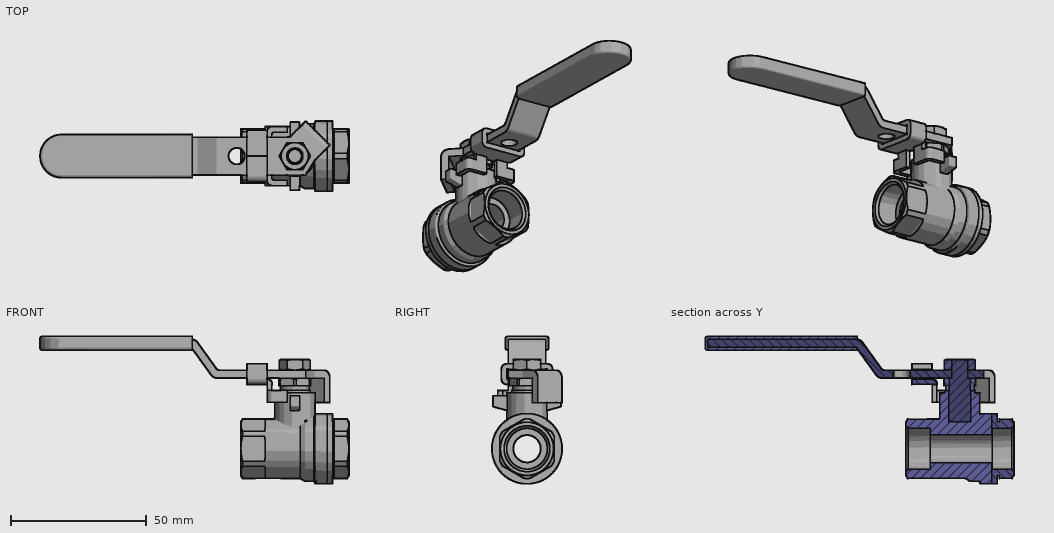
import cadquery as cq
import math


bore_d = 10.0
port_d = 15.0
port_depth = 9.0
port_chamfer = 0.95
hex_across_flats = 20.0
pipe_d = 22.0
end_face_d = 19.6
end_chamfer_length = 0.7
end_left = -20.0
end_right = 20.0

hex_end = -11.0
flat_fillet = 0.4
flat_overrun = 1.0
cone_start = 2.0
cone_end = 3.75
shoulder_d = 24.0
collar_start = 7.4
step_fillet = 0.5
collar_fillet = 0.45
blend_dip = 0.02
shoulder_fillet = 0.3
collar_d = 26.0
joint_x = 11.9
neck_d = 15.0
neck_top = 20.6
neck_fillet = 0.3
boss_d = 11.3
boss_top = 21.5

lug_width = 3.5
lug_reach = 12.6
lug_top = 19.6
lug_tip_bottom = 15.5
lug_root_bottom = 14.1
lug_fillet = 0.4

flange_end = 13.9
flange_fillet = 0.3
cap_port_depth = end_right - joint_x
relief_d = hex_across_flats
relief_end = 14.5

lever_bottom = 26.0
lever_thickness = 3.0
lever_top = lever_bottom + lever_thickness
stem_d = 8.0
thread_d = 6.0
stem_bottom = 10.0
stem_chamfer = 0.5
gland_d = 10.65
gland_head_bottom = 23.3
gland_head_d = 13.0
gland_across_flats = 11.7
gland_chamfer = 0.3
nut_across_flats = 10.0
nut_height = 4.0
nut_top = lever_top + nut_height
nut_chamfer_angle = 30.0

lever_width = 14.0
handle_left = -94.0
handle_bottom = 37.4
slope_foot_x = -28.5
slope_top_x = -36.7
bend_inner = 1.4
bend_outer = 3.0
lock_hole_x = -21.4
lock_hole_d = 6.0
nose_angle = 59.0
nose_edge_x = 7.2
stop_reach = 12.0
stop_width = 12.6
stop_bottom = 17.0
stop_bend = 3.0

grip_wall = 1.0
grip_right = -37.8
grip_rise = 1.1
grip_fillet = 1.0
grip_width = lever_width + 2 * grip_wall
grip_left = handle_left
handle_end = handle_left + grip_wall

slide_left = -17.65
slide_right = -10.25
slide_width = 19.0
slide_bottom = 23.67
slide_top = 31.36
slide_wall = 2.0
slide_corner = 2.1
slide_gap = 0.3
slide_seam = 0.25
fork_width = 21.7
fork_arm_end = -2.75
fork_top = 21.57
fork_bottom = 17.1
fork_plate = 1.75
fork_corner = 1.8
fork_inner_corner = 1.0
fork_slot = 4.5


def disc(diameter, bottom, top):
    """Upright cylinder on the stem axis."""
    return cq.Workplane("XY").workplane(offset=bottom).circle(diameter / 2).extrude(top - bottom)


def block(x0, x1, y0, y1, z0, z1):
    """Box between two opposite corners."""
    return cq.Workplane("XY").box(x1 - x0, y1 - y0, z1 - z0, centered=False).translate((x0, y0, z0))


def turned(profile):
    """Solid turned about the bore axis from (x, radius) points."""
    return cq.Workplane("XY").polyline(profile).close().revolve(360, (0, 0, 0), (1, 0, 0))


def hexagon_across(flats):
    """Across-corners size of a hexagon with the given width across flats."""
    return flats / math.cos(math.radians(30))


def wrench_flats(left, right):
    """Six cutters that leave hexagon flats around the bore axis between left and right."""
    cutter = block(left, right, -pipe_d / 2, pipe_d / 2, hex_across_flats / 2, pipe_d)
    cutter = cutter.edges("|Y and <Z").fillet(flat_fillet)
    flats = cq.Workplane("XY")
    for index in range(6):
        flats = flats.add(cutter.rotate((0, 0, 0), (1, 0, 0), 30 + 60 * index))
    return flats.combine(glue=False)


def port(face_x, inward, depth):
    """Port with a chamfered mouth at face_x; inward is +1 or -1 along X."""
    return turned([
        (face_x, 0),
        (face_x, port_d / 2 + port_chamfer),
        (face_x + inward * port_chamfer, port_d / 2),
        (face_x + inward * depth, port_d / 2),
        (face_x + inward * depth, 0),
    ])


def bore():
    return cq.Workplane("YZ").workplane(offset=end_left).circle(bore_d / 2).extrude(end_right - end_left)


def stop_lug(side):
    """Lug on the neck that limits the lever's swing; side is +1 or -1 along Y."""
    lug = (
        cq.Workplane("YZ")
        .workplane(offset=-lug_width / 2)
        .polyline([
            (0, lug_top),
            (lug_reach, lug_top),
            (lug_reach, lug_tip_bottom),
            (neck_d / 2, lug_root_bottom),
            (0, lug_root_bottom),
        ])
        .close()
        .extrude(lug_width)
        .edges("not <Y")
        .fillet(lug_fillet)
    )
    return lug if side > 0 else lug.mirror("XZ")


def ring_edge(body, x, order):
    """Circular edge of a turned body at x: order 0 is the smallest there and -1 the largest."""
    slack = 0.05
    slice_box = cq.selectors.BoxSelector(
        (x - slack, -collar_d, -collar_d), (x + slack, collar_d, collar_d), boundingbox=True
    )
    return body.edges(slice_box).edges(cq.selectors.RadiusNthSelector(order))


def make_barrel():
    """Round body with the neck blended onto it, before the collar is added."""
    barrel = turned([
        (end_left, 0),
        (end_left, end_face_d / 2),
        (end_left + end_chamfer_length, pipe_d / 2),
        (cone_start, pipe_d / 2),
        (cone_end, shoulder_d / 2),
        (joint_x, shoulder_d / 2),
        (joint_x, 0),
    ])
    barrel = ring_edge(barrel, cone_end, -1).fillet(shoulder_fillet)
    neck = disc(neck_d, 0, neck_top).union(disc(boss_d, neck_top, boss_top))
    neck = neck.edges(cq.selectors.RadiusNthSelector(0)).edges("<Z").fillet(neck_fillet)
    reach = neck_d / 2 + neck_fillet
    seam = cq.selectors.BoxSelector(
        (-reach, -reach, bore_d / 2), (reach, reach, shoulder_d / 2 + neck_fillet), boundingbox=True
    )
    return barrel.union(neck).edges(seam).fillet(neck_fillet)


def make_collar():
    """Ring at the joint face, with a hollow blend that dips slightly into the shoulder."""
    inner_radius = bore_d
    foot_radius = shoulder_d / 2 - blend_dip
    foot_x = collar_start - step_fillet
    diagonal = step_fillet * math.sqrt(0.5)
    collar = (
        cq.Workplane("XY")
        .moveTo(foot_x, inner_radius)
        .lineTo(foot_x, foot_radius)
        .threePointArc(
            (foot_x + diagonal, foot_radius + step_fillet - diagonal),
            (collar_start, foot_radius + step_fillet),
        )
        .lineTo(collar_start, collar_d / 2)
        .lineTo(joint_x, collar_d / 2)
        .lineTo(joint_x, inner_radius)
        .close()
        .revolve(360, (0, 0, 0), (1, 0, 0))
    )
    return ring_edge(collar, collar_start, -1).fillet(collar_fillet)


def make_housing():
    housing = make_barrel().union(make_collar())
    housing = housing.cut(wrench_flats(end_left - flat_overrun, hex_end))
    for side in (1, -1):
        housing = housing.union(stop_lug(side))
    return housing.cut(port(end_left, 1, port_depth)).cut(bore()).cut(disc(stem_d, stem_bottom, boss_top))


def make_end_cap():
    cap = turned([
        (joint_x, 0),
        (joint_x, collar_d / 2),
        (flange_end, collar_d / 2),
        (flange_end, relief_d / 2),
        (relief_end, relief_d / 2),
        (relief_end, pipe_d / 2),
        (end_right - end_chamfer_length, pipe_d / 2),
        (end_right, end_face_d / 2),
        (end_right, 0),
    ])
    cap = ring_edge(cap, flange_end, -1).fillet(flange_fillet)
    cap = cap.cut(wrench_flats(flange_end, end_right + flat_overrun))
    return cap.cut(port(end_right, -1, cap_port_depth))


def make_stem():
    threaded_end = disc(thread_d, lever_bottom, nut_top).faces(">Z").edges().chamfer(stem_chamfer)
    return disc(stem_d, stem_bottom, lever_bottom).union(threaded_end)


def make_gland():
    """Hexagon-headed gland nut with a round collar below the head."""
    head_height = lever_bottom - gland_head_bottom
    hexagon = (
        cq.Workplane("XY")
        .workplane(offset=gland_head_bottom)
        .transformed(rotate=(0, 0, 90))
        .polygon(6, hexagon_across(gland_across_flats))
        .extrude(head_height)
    )
    envelope = disc(gland_head_d, gland_head_bottom, lever_bottom).faces(">Z").edges().chamfer(gland_chamfer)
    gland = disc(gland_d, boss_top, gland_head_bottom).union(hexagon.intersect(envelope))
    return gland.cut(disc(stem_d, boss_top, lever_bottom))


def make_nut():
    across_corners = hexagon_across(nut_across_flats)
    corner_drop = (across_corners - nut_across_flats) / 2 * math.tan(math.radians(nut_chamfer_angle))
    prism = cq.Workplane("XY").workplane(offset=lever_top).polygon(6, across_corners).extrude(nut_height)
    envelope = (
        cq.Workplane("XZ")
        .polyline([
            (0, lever_top),
            (nut_across_flats / 2, lever_top),
            (across_corners / 2, lever_top + corner_drop),
            (across_corners / 2, nut_top - corner_drop),
            (nut_across_flats / 2, nut_top),
            (0, nut_top),
        ])
        .close()
        .revolve(360, (0, 0, 0), (0, 1, 0))
    )
    return prism.intersect(envelope).cut(disc(thread_d, lever_top, nut_top))


def lever_strip():
    """Bent strip from the handle end to the nose, before its outline is trimmed."""
    slope_angle = math.atan2(handle_bottom - lever_bottom, slope_foot_x - slope_top_x)
    miter = lever_thickness * math.tan(slope_angle / 2)
    handle_top = handle_bottom + lever_thickness
    strip = (
        cq.Workplane("XZ")
        .workplane(offset=-lever_width / 2)
        .polyline([
            (handle_end, handle_bottom),
            (slope_top_x - miter, handle_bottom),
            (slope_foot_x - miter, lever_bottom),
            (stop_reach, lever_bottom),
            (stop_reach, lever_top),
            (slope_foot_x, lever_top),
            (slope_top_x, handle_top),
            (handle_end, handle_top),
        ])
        .close()
        .extrude(lever_width)
    )
    reach = 0.1
    for x, z, radius in (
        (slope_top_x - miter, handle_bottom, bend_inner),
        (slope_foot_x - miter, lever_bottom, bend_outer),
        (slope_foot_x, lever_top, bend_inner),
        (slope_top_x, handle_top, bend_outer),
    ):
        corner = cq.selectors.BoxSelector(
            (x - reach, -lever_width, z - reach), (x + reach, lever_width, z + reach)
        )
        strip = strip.edges(corner).fillet(radius)
    return strip


def stop_tab():
    """Plate at 45 degrees whose far edge bends down to meet the stop lugs."""
    tab = (
        cq.Workplane("XZ")
        .workplane(offset=-stop_width / 2)
        .polyline([
            (0, lever_bottom),
            (stop_reach - lever_thickness, lever_bottom),
            (stop_reach - lever_thickness, stop_bottom),
            (stop_reach, stop_bottom),
            (stop_reach, lever_top),
            (0, lever_top),
        ])
        .close()
        .extrude(stop_width)
        .edges("|Y and >X and >Z")
        .fillet(stop_bend)
    )
    return tab.rotate((0, 0, 0), (0, 0, 1), 45)


def make_lever():
    round_x = handle_end + lever_width / 2
    nose_edge_y = nose_edge_x - stop_width / math.sqrt(2)
    nose_rise = nose_edge_y + lever_width / 2
    nose_corner_x = nose_edge_x - nose_rise / math.tan(math.radians(nose_angle))
    upper_corner_x = lever_width / 2 - stop_width / math.sqrt(2)
    outline = (
        cq.Workplane("XY")
        .workplane(offset=lever_bottom)
        .moveTo(round_x, -lever_width / 2)
        .lineTo(nose_corner_x, -lever_width / 2)
        .lineTo(nose_edge_x, nose_edge_y)
        .lineTo(0, 0)
        .lineTo(upper_corner_x, lever_width / 2)
        .lineTo(round_x, lever_width / 2)
        .threePointArc((handle_end, 0), (round_x, -lever_width / 2))
        .close()
        .extrude(handle_bottom + lever_thickness - lever_bottom)
    )
    lever = lever_strip().intersect(outline).union(stop_tab())
    lock_hole = disc(lock_hole_d, lever_bottom, lever_top).translate((lock_hole_x, 0, 0))
    return lever.cut(lock_hole).cut(disc(thread_d, lever_bottom, lever_top))


def make_grip(lever):
    height = lever_thickness + 2 * grip_rise
    radius = grip_width / 2
    grip = (
        cq.Workplane("XY")
        .workplane(offset=handle_bottom - grip_rise)
        .moveTo(grip_right, -radius)
        .lineTo(grip_left + radius, -radius)
        .threePointArc((grip_left, 0), (grip_left + radius, radius))
        .lineTo(grip_right, radius)
        .close()
        .extrude(height)
    )
    grip = grip.edges("(>Z or <Z) and (not >X)").fillet(grip_fillet)
    return grip.cut(lever)


def make_slide():
    """Sleeve around the lever, with a forked plate that bends down astride the neck."""
    half_width = slide_width / 2
    sleeve = block(slide_left, slide_right, -half_width, half_width, slide_bottom, slide_top)
    sleeve = sleeve.edges("|X").fillet(slide_corner)
    half_inside = lever_width / 2 + slide_gap
    inside = block(
        slide_left, slide_right, -half_inside, half_inside, lever_bottom - slide_gap, slide_top - slide_wall
    )
    seam = block(
        slide_left, slide_right, -slide_seam / 2, slide_seam / 2, lever_top, slide_top
    )

    half_fork = fork_width / 2
    fork = block(slide_right, fork_arm_end, -half_fork, half_fork, fork_bottom, fork_top)
    fork = fork.edges("|Z and <X").fillet(fork_corner)
    fork_inside = block(
        slide_right + fork_plate, fork_arm_end,
        slide_wall - half_fork, half_fork - slide_wall, fork_bottom, fork_top,
    )
    fork_inside = fork_inside.edges("|Z and <X").fillet(fork_inner_corner)

    bend = (
        cq.Workplane("XZ")
        .workplane(offset=-lever_width / 2)
        .moveTo(slide_right, fork_top)
        .lineTo(slide_right + fork_plate, fork_top)
        .lineTo(slide_right + fork_plate, slide_bottom)
        .lineTo(slide_right + slide_wall, slide_bottom)
        .radiusArc((slide_right, slide_bottom + slide_wall), -slide_wall)
        .close()
        .extrude(lever_width)
    )
    slot = block(
        slide_right, slide_right + slide_wall, -fork_slot / 2, fork_slot / 2, fork_bottom, slide_bottom
    )
    return sleeve.cut(inside).cut(seam).union(fork.cut(fork_inside)).union(bend).cut(slot)


housing = make_housing()
end_cap = make_end_cap()
stem = make_stem()
gland = make_gland()
nut = make_nut()
lever = make_lever()
grip = make_grip(lever)
slide = make_slide()

bodies = [housing, end_cap, stem, gland, nut, lever, grip, slide]
result = cq.Compound.makeCompound([body.solids().val() for body in bodies])